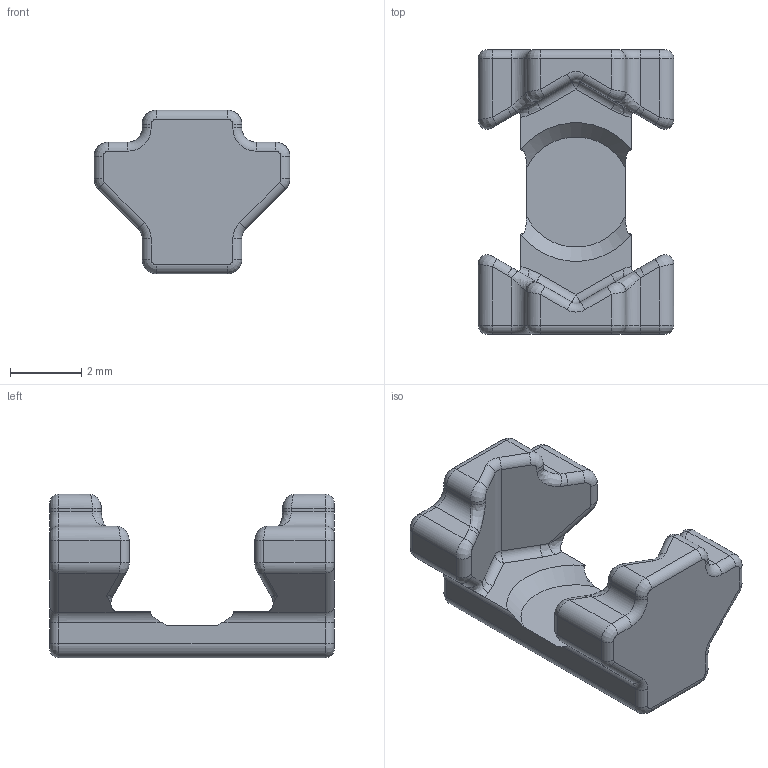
import cadquery as cq
import math

length = 8.0
height = 4.6
wing_width = 5.5
neck_width = 2.8

shoulder_z = 3.7
wing_bottom_z = 2.5
flank_angle = 45.0
profile_radius = 0.4

floor_z = 1.3
vee_apex_y = 3.17
vee_slope = 30.0
edge_radius = 0.25

seat_depth = 0.4
seat_bottom_radius = 1.55
seat_top_radius = seat_bottom_radius + seat_depth

overrun = 0.5
tolerance = 1e-3

half_wing = wing_width / 2
half_neck = neck_width / 2
flank_rise = (half_wing - half_neck) * math.tan(math.radians(flank_angle))

vee_center_edges = cq.selectors.BoxSelector(
    (-tolerance, -vee_apex_y - tolerance, -overrun),
    (tolerance, vee_apex_y + tolerance, height + overrun),
)

floor_center_edges = cq.selectors.BoxSelector(
    (-tolerance, -vee_apex_y, floor_z - tolerance),
    (tolerance, vee_apex_y, floor_z + tolerance),
)


def make_bar():
    """Winged cross-section extruded along Y, with lengthwise corners and end rims rounded."""
    right_side = [
        (half_neck, 0),
        (half_neck, wing_bottom_z - flank_rise),
        (half_wing, wing_bottom_z),
        (half_wing, shoulder_z),
        (half_neck, shoulder_z),
        (half_neck, height),
    ]
    left_side = [(-x, z) for x, z in reversed(right_side)]
    bar = cq.Workplane("XZ").polyline(right_side + left_side).close()
    bar = bar.extrude(length / 2, both=True)
    bar = bar.edges("|Y").fillet(profile_radius)
    return bar.faces("<Y or >Y").edges().fillet(edge_radius)


def make_saddle_cutter():
    """Full-height hexagonal prism whose rounded points shape the vee walls of the jaws."""
    reach_x = half_wing + overrun
    reach_y = vee_apex_y - reach_x * math.tan(math.radians(vee_slope))
    outline = [
        (0, vee_apex_y),
        (reach_x, reach_y),
        (reach_x, -reach_y),
        (0, -vee_apex_y),
        (-reach_x, -reach_y),
        (-reach_x, reach_y),
    ]
    cutter = cq.Workplane("XY", origin=(0, 0, -overrun)).polyline(outline).close()
    cutter = cutter.extrude(height + 2 * overrun)
    return cutter.edges(vee_center_edges).edges("|Z").fillet(edge_radius)


def make_jaws(bar):
    """Two separate end jaws; the apex arcs lead the rounding around each whole vee rim."""
    jaws = bar.cut(make_saddle_cutter())
    return jaws.edges(vee_center_edges).fillet(edge_radius)


def add_floor(jaws, bar):
    """Join the jaws with a floor blended into the vee walls, then trim it to the bar.

    The slab is as wide as the wings while it is blended, so the blend runs out
    past the bar's flanks and the trimmed floor keeps sharp long edges.
    """
    slab_length = 2 * (vee_apex_y + overrun)
    slab = cq.Workplane("XY").box(wing_width, slab_length, floor_z, centered=(True, True, False))
    joined = jaws.union(slab)
    joined = joined.edges(floor_center_edges).fillet(edge_radius)
    return joined.intersect(bar)


def make_seat_cutter():
    """Truncated cone, widening upward to the saddle floor."""
    seat_base = cq.Vector(0, 0, floor_z - seat_depth)
    cone = cq.Solid.makeCone(seat_bottom_radius, seat_top_radius, seat_depth, pnt=seat_base)
    return cq.Workplane(obj=cone)


bar = make_bar()
jaws = make_jaws(bar)
body = add_floor(jaws, bar)
result = body.cut(make_seat_cutter())